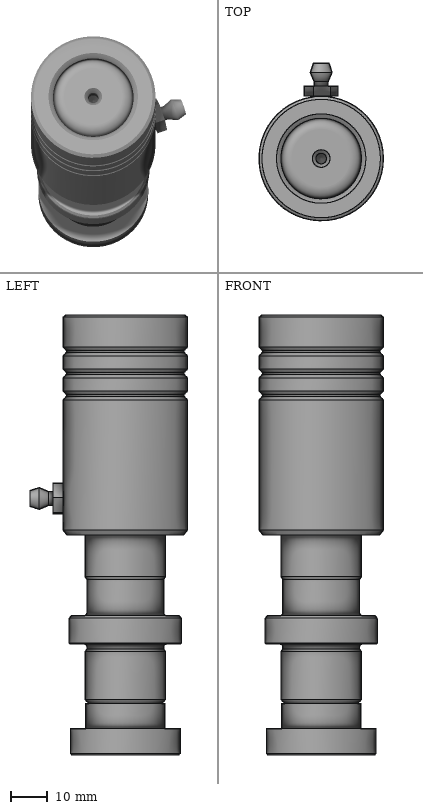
import cadquery as cq
import math

TOTAL_HEIGHT = 120.0

BUSH_DIAMETER = 34.0
BUSH_RADIUS = BUSH_DIAMETER / 2
BUSH_BOTTOM = 60.0
BUSH_TOP_CHAMFER_WIDTH = 0.8
BUSH_TOP_CHAMFER_HEIGHT = 0.6
BUSH_BOTTOM_CHAMFER_WIDTH = 1.1
BUSH_BOTTOM_CHAMFER_HEIGHT = 1.3
BORE_CHAMFER = 1.2
GROOVE_COUNT = 3
GROOVE_PITCH = 6.0
GROOVE_WIDTH = 2.4
GROOVE_DEPTH = 1.0
FIRST_GROOVE_TOP = 111.2

PILLAR_DIAMETER = 22.0
PILLAR_RADIUS = PILLAR_DIAMETER / 2
PILLAR_END_FILLET = 3.0
PILLAR_BOTTOM = 14.0
PILLAR_BOTTOM_CHAMFER = 1.1
NECK_DIAMETER = 21.0
NECK_RADIUS = NECK_DIAMETER / 2
NECK_FILLET = 0.7
UPPER_NECK_TOP = 47.9
UPPER_STEP_HEIGHT = 0.8
LOWER_NECK_BOTTOM = 28.9
LOWER_STEP_HEIGHT = 0.7
FLANGE_DIAMETER = 30.7
FLANGE_RADIUS = FLANGE_DIAMETER / 2
FLANGE_BOTTOM = 30.2
FLANGE_TOP = 38.0
FLANGE_TOP_CHAMFER = 0.6
FLANGE_TAPER_WIDTH = 0.1
FLANGE_TAPER_HEIGHT = 0.6
FLANGE_BOTTOM_CHAMFER = 0.4
CENTRE_HOLE_RADIUS = 1.5
CENTRE_HOLE_DEPTH = 4.8
COUNTERSINK_RADIUS = 2.4
COUNTERSINK_ANGLE = 60.0
DRILL_POINT_ANGLE = 120.0

CAP_SPIGOT_RADIUS = 10.8
CAP_DISC_RADIUS = 15.0
CAP_DISC_HEIGHT = 7.2
CAP_CHAMFER = 0.5

NIPPLE_HEIGHT = 70.0
STEM_RADIUS = 2.5
STEM_DEPTH = 3.6
HEX_ACROSS_FLATS = 8.0
HEX_ROTATION = 34.0
HEX_LENGTH = 2.8
WAIST_RADIUS = 1.9
WAIST_LENGTH = 4.0
HEAD_RADIUS = 3.0
HEAD_LENGTH = 6.5
TIP_RADIUS = 2.2
NIPPLE_LENGTH = 9.0


def revolve_about_z(profile):
    """Turn a profile drawn as (radius, height) about the Z axis."""
    return profile.close().revolve(360, (0, 0, 0), (0, 1, 0))


def revolve_on_nipple_axis(profile):
    """Turn a profile drawn as (radius, distance from the bush side) about the nipple axis."""
    turned = profile.close().revolve(360, (0, 0, 0), (0, 1, 0))
    return turned.translate((0, BUSH_RADIUS, NIPPLE_HEIGHT))


def make_groove(top):
    """Ring with 45 degree sides and a narrow floor, cut into the outside of the bush."""
    floor_radius = BUSH_RADIUS - GROOVE_DEPTH
    bottom = top - GROOVE_WIDTH
    profile = (
        cq.Workplane("XZ")
        .moveTo(BUSH_RADIUS, top)
        .lineTo(floor_radius, top - GROOVE_DEPTH)
        .lineTo(floor_radius, bottom + GROOVE_DEPTH)
        .lineTo(BUSH_RADIUS, bottom)
    )
    return revolve_about_z(profile)


def make_nipple_stem():
    """Stem that plugs the nipple into the side of the bush."""
    return revolve_on_nipple_axis(
        cq.Workplane("XY")
        .moveTo(0, -STEM_DEPTH)
        .lineTo(STEM_RADIUS, -STEM_DEPTH)
        .lineTo(STEM_RADIUS, 0)
        .lineTo(0, 0)
    )


def make_bush():
    bush = revolve_about_z(
        cq.Workplane("XZ")
        .moveTo(PILLAR_RADIUS, BUSH_BOTTOM)
        .lineTo(BUSH_RADIUS - BUSH_BOTTOM_CHAMFER_WIDTH, BUSH_BOTTOM)
        .lineTo(BUSH_RADIUS, BUSH_BOTTOM + BUSH_BOTTOM_CHAMFER_HEIGHT)
        .lineTo(BUSH_RADIUS, TOTAL_HEIGHT - BUSH_TOP_CHAMFER_HEIGHT)
        .lineTo(BUSH_RADIUS - BUSH_TOP_CHAMFER_WIDTH, TOTAL_HEIGHT)
        .lineTo(PILLAR_RADIUS + BORE_CHAMFER, TOTAL_HEIGHT)
        .lineTo(PILLAR_RADIUS, TOTAL_HEIGHT - BORE_CHAMFER)
    )
    for index in range(GROOVE_COUNT):
        bush = bush.cut(make_groove(FIRST_GROOVE_TOP - index * GROOVE_PITCH))
    return bush.cut(make_nipple_stem())


def make_centre_hole():
    """Countersunk blind hole in the top of the pillar, with a conical drill point."""
    countersink_slope = math.tan(math.radians(COUNTERSINK_ANGLE / 2))
    countersink_depth = (COUNTERSINK_RADIUS - CENTRE_HOLE_RADIUS) / countersink_slope
    point_depth = CENTRE_HOLE_RADIUS / math.tan(math.radians(DRILL_POINT_ANGLE / 2))
    hole_bottom = TOTAL_HEIGHT - CENTRE_HOLE_DEPTH
    return revolve_about_z(
        cq.Workplane("XZ")
        .moveTo(0, TOTAL_HEIGHT)
        .lineTo(COUNTERSINK_RADIUS, TOTAL_HEIGHT)
        .lineTo(CENTRE_HOLE_RADIUS, TOTAL_HEIGHT - countersink_depth)
        .lineTo(CENTRE_HOLE_RADIUS, hole_bottom)
        .lineTo(0, hole_bottom - point_depth)
    )


def make_pillar():
    taper_top_radius = FLANGE_RADIUS - FLANGE_TAPER_WIDTH
    taper_top = FLANGE_TOP - FLANGE_TOP_CHAMFER
    pillar = revolve_about_z(
        cq.Workplane("XZ")
        .moveTo(0, PILLAR_BOTTOM)
        .lineTo(PILLAR_RADIUS - PILLAR_BOTTOM_CHAMFER, PILLAR_BOTTOM)
        .lineTo(PILLAR_RADIUS, PILLAR_BOTTOM + PILLAR_BOTTOM_CHAMFER)
        .lineTo(PILLAR_RADIUS, LOWER_NECK_BOTTOM - LOWER_STEP_HEIGHT)
        .lineTo(NECK_RADIUS, LOWER_NECK_BOTTOM)
        .lineTo(NECK_RADIUS, FLANGE_BOTTOM - NECK_FILLET)
        .radiusArc((NECK_RADIUS + NECK_FILLET, FLANGE_BOTTOM), NECK_FILLET)
        .lineTo(FLANGE_RADIUS - FLANGE_BOTTOM_CHAMFER, FLANGE_BOTTOM)
        .lineTo(FLANGE_RADIUS, FLANGE_BOTTOM + FLANGE_BOTTOM_CHAMFER)
        .lineTo(FLANGE_RADIUS, taper_top - FLANGE_TAPER_HEIGHT)
        .lineTo(taper_top_radius, taper_top)
        .lineTo(taper_top_radius - FLANGE_TOP_CHAMFER, FLANGE_TOP)
        .lineTo(NECK_RADIUS + NECK_FILLET, FLANGE_TOP)
        .radiusArc((NECK_RADIUS, FLANGE_TOP + NECK_FILLET), NECK_FILLET)
        .lineTo(NECK_RADIUS, UPPER_NECK_TOP)
        .lineTo(PILLAR_RADIUS, UPPER_NECK_TOP + UPPER_STEP_HEIGHT)
        .lineTo(PILLAR_RADIUS, TOTAL_HEIGHT - PILLAR_END_FILLET)
        .radiusArc((PILLAR_RADIUS - PILLAR_END_FILLET, TOTAL_HEIGHT), -PILLAR_END_FILLET)
        .lineTo(0, TOTAL_HEIGHT)
    )
    return pillar.cut(make_centre_hole())


def make_end_cap():
    disc = cq.Workplane("XY").circle(CAP_DISC_RADIUS).extrude(CAP_DISC_HEIGHT)
    disc = disc.faces("<Z").chamfer(CAP_CHAMFER)
    spigot = cq.Workplane("XY").circle(CAP_SPIGOT_RADIUS).extrude(PILLAR_BOTTOM)
    return disc.union(spigot)


def make_hexagon():
    """Spanner hexagon that sits against the side of the bush."""
    hexagon = (
        cq.Workplane("XZ")
        .polygon(6, HEX_ACROSS_FLATS, circumscribed=True)
        .extrude(-HEX_LENGTH)
        .rotate((0, 0, 0), (0, 1, 0), HEX_ROTATION)
    )
    return hexagon.translate((0, BUSH_RADIUS, NIPPLE_HEIGHT))


def make_nipple():
    head = revolve_on_nipple_axis(
        cq.Workplane("XY")
        .moveTo(0, HEX_LENGTH)
        .lineTo(WAIST_RADIUS, HEX_LENGTH)
        .lineTo(WAIST_RADIUS, WAIST_LENGTH)
        .lineTo(HEAD_RADIUS, HEAD_LENGTH)
        .lineTo(TIP_RADIUS, NIPPLE_LENGTH)
        .lineTo(0, NIPPLE_LENGTH)
    )
    return make_hexagon().union(make_nipple_stem()).union(head)


bush = make_bush()
pillar = make_pillar()
end_cap = make_end_cap()
nipple = make_nipple()

result = cq.Compound.makeCompound([bush.val(), pillar.val(), end_cap.val(), nipple.val()])